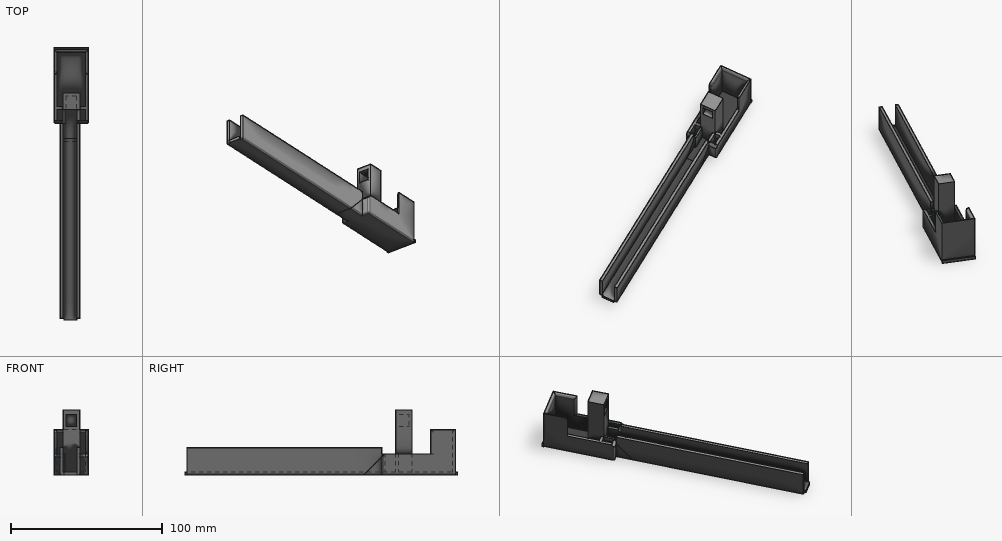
import cadquery as cq


overall_length = 179.4
wall = 2.0

housing_width = 22.5
housing_length = 48.6
high_wall_height = 30.0
high_wall_length = 16.4
low_wall_height = 14.0
rim_rounding = 1.98
corner_radius = 1.0
bottom_radius = 1.0
end_projection = 1.2

channel_left = -7.3
groove_width = 9.0
channel_height = 18.0
guide_rib_width = 1.25
tongue_inset = 0.5

tower_size = 11.0
tower_height = 43.0
tower_front = -39.6
socket_width = 7.0
socket_bottom = 32.0
socket_top = 40.0
socket_depth = 9.0

half_width = housing_width / 2
inner_x = half_width - wall
housing_front = -housing_length
groove_left = channel_left + wall
groove_right = groove_left + groove_width
channel_right = groove_right + wall
tower_left = groove_left
channel_end = 2 * end_projection - overall_length
inside_z = (wall, low_wall_height)

joint_top_y = housing_front + wall
joint_toe_y = joint_top_y - low_wall_height


def block(x_range, y_range, z_range):
    """Box between the low and high limits given for each axis."""
    limits = (x_range, y_range, z_range)
    sizes = [high - low for low, high in limits]
    low_corner = tuple(low for low, high in limits)
    return cq.Workplane("XY").box(*sizes, centered=False).translate(low_corner)


def channel_bar(y_range, height):
    """Solid bar of the channel's width with its long bottom edges rounded."""
    bar = block((channel_left, channel_right), y_range, (0, height))
    return bar.edges("|Y and <Z").fillet(bottom_radius)


def groove(y_range):
    """Space between the channel walls, above the floor."""
    return block((groove_left, groove_right), y_range, (wall, channel_height))


def side_profile(points):
    """Prism across the whole housing width from an outline of (Y, Z) points."""
    outline = cq.Workplane("YZ").polyline(points).close()
    return outline.extrude(half_width, both=True)


def housing_shell():
    """Open box, high at the back and low in front, with the inner edge of its high rim rounded."""
    step_y = -high_wall_length
    shell = block((-half_width, half_width), (housing_front, 0), (0, low_wall_height))
    shell = shell.union(block((-half_width, half_width), (step_y, 0), (0, high_wall_height)))
    shell = shell.edges("|Z and <Y").fillet(corner_radius)
    shell = shell.faces("<Z").edges("not >Y").fillet(bottom_radius)
    shell = shell.cut(block((-inner_x, inner_x), (joint_top_y, -wall), (wall, high_wall_height)))

    margin = wall / 2
    inner_edges = cq.selectors.BoxSelector(
        (-inner_x - margin, step_y - margin, low_wall_height + margin),
        (inner_x + margin, -margin, high_wall_height + margin),
    )
    return shell.edges(inner_edges).edges("(>Z) or (|Z and <Y)").fillet(rim_rounding)


def tower():
    """Square post with a blind socket in its front face."""
    post = block(
        (tower_left, tower_left + tower_size),
        (tower_front, tower_front + tower_size),
        (wall, tower_height),
    )
    socket = block(
        (-socket_width / 2, socket_width / 2),
        (tower_front, tower_front + socket_depth),
        (socket_bottom, socket_top),
    )
    return post.cut(socket)


def back_lip():
    """Low strip behind the housing, as thick as the floor."""
    return block((-half_width, half_width), (0, end_projection), (0, wall))


def make_housing():
    stub = channel_bar((joint_toe_y, joint_top_y), low_wall_height)
    cross_wall = block((-inner_x, inner_x), (tower_front, tower_front + wall), inside_z)
    side_rib = block((groove_right, channel_right), (housing_front, tower_front), inside_z)
    body = housing_shell().union(stub).union(cross_wall).union(side_rib)

    above_joint = side_profile(
        [(joint_top_y, low_wall_height), (joint_toe_y, 0), (joint_toe_y, low_wall_height)]
    )
    body = body.cut(above_joint).cut(groove((joint_toe_y, tower_front)))

    guide_rib = block(
        (groove_left, groove_left + guide_rib_width), (housing_front, tower_front), inside_z
    )
    return body.union(guide_rib).union(tower()).union(back_lip())


def make_channel():
    body = channel_bar((channel_end, housing_front), channel_height)
    below_joint = side_profile(
        [(joint_top_y, 0), (joint_top_y, low_wall_height), (joint_toe_y, 0)]
    )
    body = body.cut(below_joint).cut(groove((channel_end, housing_front)))

    tongue = block(
        (groove_left + tongue_inset, groove_right),
        (channel_end - end_projection, channel_end),
        (0, wall),
    )
    return body.union(tongue)


housing = make_housing()
channel = make_channel()

result = cq.Compound.makeCompound([housing.val(), channel.val()])